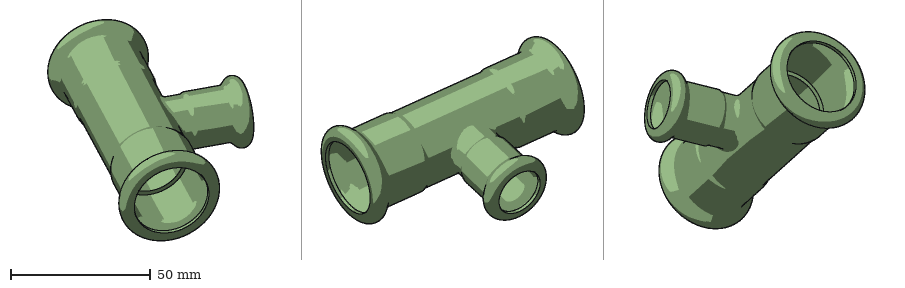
import cadquery as cq
import math

run_length = 92.0
branch_reach = 41.95

run_socket_radius = 31.0 / 2
run_tube_radius = 29.8 / 2
run_shoulder_start = 23.9
branch_socket_radius = 21.0 / 2
branch_tube_radius = 19.8 / 2
branch_shoulder_start = 21.0

run_bead_radius = 18.9
branch_bead_radius = 13.25

socket_wall = 1.5
tube_wall = 2.5
bead_round = 3.0
neck_round = 1.8
shoulder_length = 2.0
junction_round = 1.8


def bead_and_neck(sketch, bead_radius, socket_radius, offset):
    """Add the bead arc, 45 degree cone and neck round, moved inward by offset."""
    cone_angle = math.radians(45)
    sin_cone = math.sin(cone_angle)
    center_x = bead_round
    center_r = bead_radius - bead_round
    bead = bead_round - offset
    neck = neck_round + offset

    corner_x = center_x + center_r + bead_round / sin_cone - socket_radius
    neck_end_x = corner_x + neck_round * math.tan(cone_angle / 2)
    neck_center_r = socket_radius + neck_round
    mid_angle = cone_angle / 2

    bead_end = (center_x + bead * sin_cone, center_r + bead * sin_cone)
    bead_middle = (center_x - bead * math.sin(mid_angle), center_r + bead * math.cos(mid_angle))
    neck_start = (neck_end_x - neck * sin_cone, neck_center_r - neck * sin_cone)
    neck_middle = (neck_end_x - neck * math.sin(mid_angle), neck_center_r - neck * math.cos(mid_angle))
    neck_end = (neck_end_x, neck_center_r - neck)
    return (
        sketch.lineTo(center_x - bead, center_r)
        .threePointArc(bead_middle, bead_end)
        .lineTo(*neck_start)
        .threePointArc(neck_middle, neck_end)
    )


def outer_body(bead_radius, socket_radius, tube_radius, shoulder_start, length):
    """Solid outside shape of one arm, mouth at x = 0, running along +X."""
    shoulder_middle = (shoulder_start + shoulder_length / 2, (socket_radius + tube_radius) / 2)
    shoulder_end = (shoulder_start + shoulder_length, tube_radius)
    sketch = bead_and_neck(cq.Workplane("XY"), bead_radius, socket_radius, 0)
    return (
        sketch.lineTo(shoulder_start, socket_radius)
        .tangentArcPoint(shoulder_middle, relative=False)
        .tangentArcPoint(shoulder_end, relative=False)
        .lineTo(length, tube_radius)
        .lineTo(length, 0)
        .close()
        .revolve(360, (0, 0, 0), (1, 0, 0))
    )


def inner_cavity(bead_radius, socket_radius, tube_radius, shoulder_start, length):
    """Mouth, seal groove, socket and tube bore of one arm, placed like outer_body."""
    socket_bore = socket_radius - socket_wall
    tube_bore = tube_radius - tube_wall
    stop_x = shoulder_start + shoulder_length / 2
    sketch = cq.Workplane("XY").lineTo(0, socket_bore).lineTo(socket_wall, socket_bore)
    sketch = bead_and_neck(sketch, bead_radius, socket_radius, socket_wall)
    return (
        sketch.lineTo(stop_x, socket_bore)
        .lineTo(stop_x, tube_bore)
        .lineTo(length, tube_bore)
        .lineTo(length, 0)
        .close()
        .revolve(360, (0, 0, 0), (1, 0, 0))
    )


def place_run(arm):
    """Put one arm at each end of the run and join them at the middle."""
    left = arm.rotate((0, 0, 0), (1, 0, 0), 180).translate((-run_length / 2, 0, 0))
    return left.union(left.mirror("YZ"))


def place_branch(arm):
    """Turn an arm so that its mouth faces +Y at the branch reach."""
    return arm.rotate((0, 0, 0), (0, 0, 1), -90).translate((0, branch_reach, 0))


run_sizes = (run_bead_radius, run_socket_radius, run_tube_radius, run_shoulder_start, run_length / 2)
branch_sizes = (
    branch_bead_radius, branch_socket_radius, branch_tube_radius, branch_shoulder_start, branch_reach,
)

body = place_run(outer_body(*run_sizes)).union(place_branch(outer_body(*branch_sizes)))
junction_zone = cq.selectors.BoxSelector(
    (-branch_socket_radius, 0, -branch_socket_radius),
    (branch_socket_radius, run_tube_radius, branch_socket_radius),
)
body = body.edges(junction_zone).fillet(junction_round)

cavity = place_run(inner_cavity(*run_sizes)).union(place_branch(inner_cavity(*branch_sizes)))
result = body.cut(cavity)